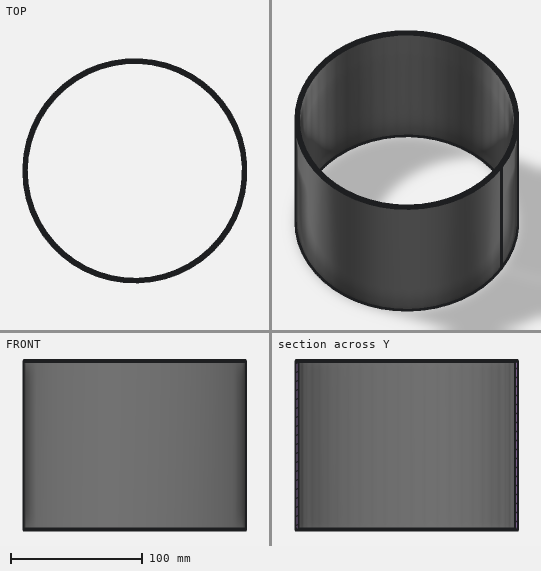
import cadquery as cq

outer_diameter = 170.0
height = 130.0
wall = 2.5
bevel_depth = 0.7
bevel_height = 1.5
sweep_angle = 359.0

outer_radius = outer_diameter / 2
inner_radius = outer_radius - wall

wall_section = (
    cq.Workplane("XZ")
    .moveTo(-outer_radius, bevel_height)
    .lineTo(-outer_radius, height - bevel_height)
    .lineTo(-outer_radius + bevel_depth, height)
    .lineTo(-inner_radius - bevel_depth, height)
    .lineTo(-inner_radius, height - bevel_height)
    .lineTo(-inner_radius, bevel_height)
    .lineTo(-inner_radius - bevel_depth, 0)
    .lineTo(-outer_radius + bevel_depth, 0)
    .close()
)

result = wall_section.revolve(sweep_angle, (0, 0, 0), (0, 1, 0))